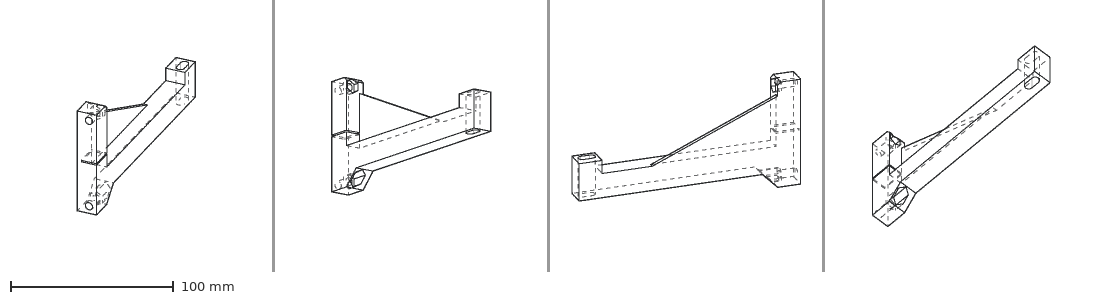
import cadquery as cq

width = 13.0
length = 145.0
height = 70.0

flange_depth = 15.1
flange_chamfer = 2.0

arm_bottom = 10.0
arm_top = 26.2
pad_length = 15.1
pad_top = 35.0

web_thickness = 2.8
web_end = 97.2
web_top = 60.9
gusset_end = flange_depth + arm_bottom

slit_height = 1.0
slit_middle = 35.5

hole_diameter = 5.0
hole_x = 8.0
hole_edge_distance = 5.1
nut_corner_diameter = 9.3
nut_pocket_depth = 4.0
slot_length = 11.0
slot_width = 5.2
slot_y = 137.2


def make_body():
    """Side outline of flange, web, arm, pad and gusset over the full width."""
    outline = [
        (0, 0),
        (flange_depth, 0),
        (gusset_end, arm_bottom),
        (length, arm_bottom),
        (length, pad_top),
        (length - pad_length, pad_top),
        (length - pad_length, arm_top),
        (web_end, arm_top),
        (flange_depth, web_top),
        (flange_depth, height - flange_chamfer),
        (flange_depth - flange_chamfer, height),
        (0, height),
    ]
    return cq.Workplane("YZ").polyline(outline).close().extrude(width)


def make_web_clearance():
    """Space beside the web, above the arm and behind the flange."""
    return cq.Workplane("XY").box(
        width - web_thickness, web_end - flange_depth, web_top - arm_top, centered=False
    ).translate((web_thickness, flange_depth, arm_top))


def make_slit():
    """Narrow slit through the flange, open on the +X side."""
    return cq.Workplane("XY").box(
        width - web_thickness, flange_depth, slit_height, centered=False
    ).translate((web_thickness, 0, slit_middle - slit_height / 2))


def make_screw_hole(z):
    """Hole along Y with a hexagonal nut pocket, corner up, at the flange back."""
    pocket_start = flange_depth - nut_pocket_depth
    hole = (
        cq.Workplane("XZ")
        .center(hole_x, z)
        .circle(hole_diameter / 2)
        .extrude(-gusset_end)
    )
    pocket = (
        cq.Workplane("XZ", origin=(hole_x, pocket_start, z))
        .transformed(rotate=(0, 0, 90))
        .polygon(6, nut_corner_diameter)
        .extrude(pocket_start - gusset_end)
    )
    return hole.union(pocket)


def make_pad_slot():
    """Vertical slot through the pad, long side along Y."""
    return (
        cq.Workplane("XY")
        .center(hole_x, slot_y)
        .slot2D(slot_length, slot_width, 90)
        .extrude(pad_top)
    )


result = make_body().cut(make_web_clearance()).cut(make_slit()).cut(make_pad_slot())
for hole_z in (hole_edge_distance, height - hole_edge_distance):
    result = result.cut(make_screw_hole(hole_z))